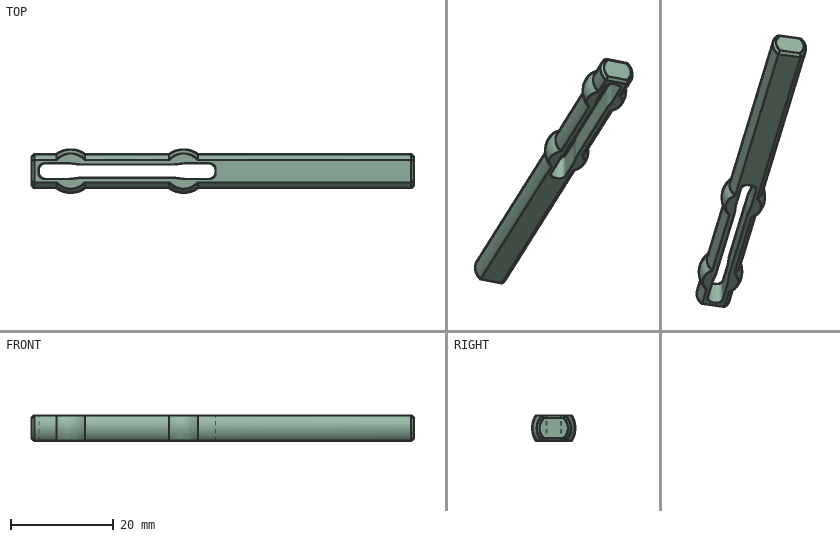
import cadquery as cq

bar_length = 75.0
bar_diameter = 6.7
flat_thickness = 5.0
end_chamfer = 0.56

spring_center = 18.75
bulge_spacing = 22.1
bulge_diameter = 8.55
bulge_length = 5.6

slot_length = 34.65
slot_end_width = 3.0
slot_middle_width = 2.55
slot_middle_length = 18.45
slot_taper_length = 1.95
slot_corner_radius = 1.2


def make_bar():
    """Rod cut down to two flats, with every end edge chamfered."""
    rod = cq.Workplane("YZ").circle(bar_diameter / 2).extrude(bar_length)
    flats = cq.Workplane("XY").box(
        bar_length, bar_diameter, flat_thickness, centered=(False, True, True)
    )
    return rod.intersect(flats).faces("<X or >X").chamfer(end_chamfer)


def make_bulge(center_x):
    """Barrel turned about the bar axis, meeting the rod surface at both ends and cut to the flats."""
    half_length = bulge_length / 2
    barrel = (
        cq.Workplane("XY")
        .moveTo(center_x - half_length, 0)
        .lineTo(center_x - half_length, bar_diameter / 2)
        .threePointArc(
            (center_x, bulge_diameter / 2),
            (center_x + half_length, bar_diameter / 2),
        )
        .lineTo(center_x + half_length, 0)
        .close()
        .revolve(360, (0, 0, 0), (1, 0, 0))
    )
    flats = (
        cq.Workplane("XY")
        .center(center_x, 0)
        .box(bulge_length, bulge_diameter, flat_thickness)
    )
    return barrel.intersect(flats)


def make_slot():
    """Slot with rounded corners, its walls thickened between two tapers."""
    slot = (
        cq.Workplane("XY")
        .center(spring_center, 0)
        .box(slot_length, slot_end_width, flat_thickness)
        .edges("|Z")
        .fillet(slot_corner_radius)
    )
    middle_half = slot_middle_length / 2
    taper_start = middle_half + slot_taper_length
    for side in (-1, 1):
        wall_rib = (
            cq.Workplane("XY", origin=(spring_center, 0, -flat_thickness / 2))
            .moveTo(-taper_start, side * slot_end_width / 2)
            .lineTo(-middle_half, side * slot_middle_width / 2)
            .lineTo(middle_half, side * slot_middle_width / 2)
            .lineTo(taper_start, side * slot_end_width / 2)
            .close()
            .extrude(flat_thickness)
        )
        slot = slot.cut(wall_rib)
    return slot


result = make_bar()
for side in (-1, 1):
    result = result.union(make_bulge(spring_center + side * bulge_spacing / 2))
result = result.cut(make_slot())